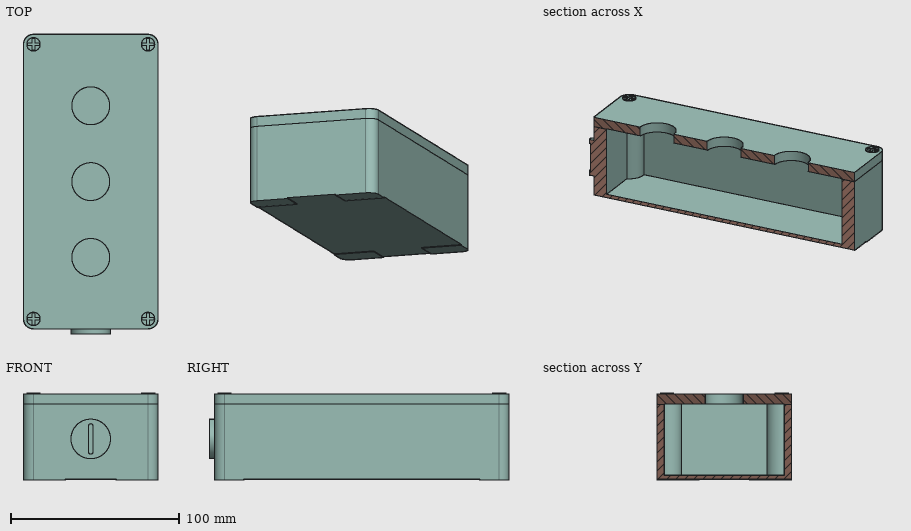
import cadquery as cq

box_width = 80.0
box_length = 175.0
lid_thickness = 6.0
box_height = 51.2
base_height = box_height - lid_thickness
corner_radius = 6.0

side_wall = 4.5
end_wall = 8.8
floor_thickness = 3.0
post_radius = 9.0

foot_height = 0.5
foot_width = 25.0
foot_length = 17.5
relief_width = box_width - 2 * foot_width
relief_length = box_length - 2 * foot_length

control_hole_diameter = 22.5
control_hole_pitch = 45.0
control_hole_count = 3

screw_head_diameter = 8.0
screw_head_height = 0.5
screw_slot_width = 1.6
screw_slot_length = 7.0
screw_slot_depth = 0.5
screw_spacing_x = box_width - 2 * corner_radius
screw_spacing_y = box_length - 2 * corner_radius

plug_diameter = 23.5
plug_height = 3.0
plug_center_z = 24.5
plug_slot_length = 18.0
plug_slot_width = 2.8
plug_slot_depth = 0.5


def rounded_block(bottom_z, height):
    """Block with the outline of the enclosure."""
    block = cq.Workplane("XY").workplane(offset=bottom_z).rect(box_width, box_length).extrude(height)
    return block.edges("|Z").fillet(corner_radius)


def at_corners(z):
    """Workplane at height z with a point on each corner screw axis."""
    plane = cq.Workplane("XY").workplane(offset=z)
    return plane.rect(screw_spacing_x, screw_spacing_y, forConstruction=True).vertices()


def make_cavity():
    """Open-topped interior, cut back around the four round screw posts."""
    depth = base_height - floor_thickness
    cavity = (
        cq.Workplane("XY")
        .workplane(offset=floor_thickness)
        .rect(box_width - 2 * side_wall, box_length - 2 * end_wall)
        .extrude(depth)
    )
    posts = at_corners(floor_thickness).circle(post_radius).extrude(depth)
    return cavity.cut(posts)


def make_base():
    base = rounded_block(0, base_height).cut(make_cavity())

    for relief_x, relief_y in ((relief_width, box_length), (box_width, relief_length)):
        base = base.cut(cq.Workplane("XY").rect(relief_x, relief_y).extrude(foot_height))

    end_face = cq.Workplane("XZ", origin=(0, -box_length / 2, plug_center_z))
    base = base.union(end_face.circle(plug_diameter / 2).extrude(plug_height))
    plug_slot = (
        end_face.workplane(offset=plug_height)
        .slot2D(plug_slot_length, plug_slot_width, 90)
        .extrude(-plug_slot_depth)
    )
    return base.cut(plug_slot)


def make_lid():
    lid = rounded_block(base_height, lid_thickness)
    control_holes = (
        cq.Workplane("XY")
        .workplane(offset=base_height)
        .rarray(1, control_hole_pitch, 1, control_hole_count)
        .circle(control_hole_diameter / 2)
        .extrude(lid_thickness)
    )
    lid = lid.cut(control_holes)

    heads = at_corners(box_height).circle(screw_head_diameter / 2).extrude(screw_head_height)
    lid = lid.union(heads)

    cross_bottom = box_height + screw_head_height - screw_slot_depth
    for slot_x, slot_y in ((screw_slot_length, screw_slot_width), (screw_slot_width, screw_slot_length)):
        lid = lid.cut(at_corners(cross_bottom).rect(slot_x, slot_y).extrude(screw_slot_depth))
    return lid


base = make_base()
lid = make_lid()

result = cq.Compound.makeCompound([base.val(), lid.val()])